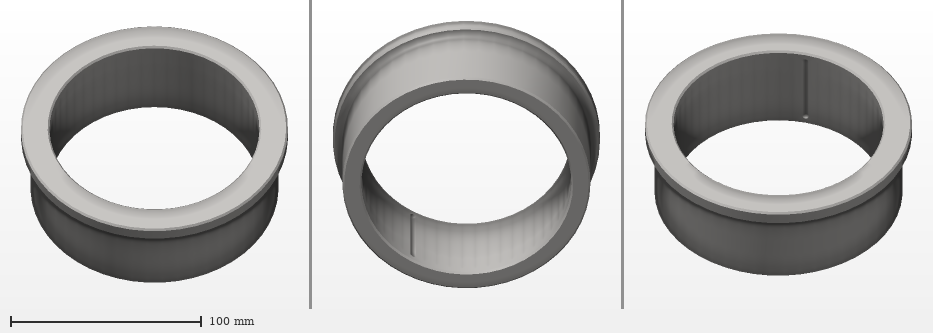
import cadquery as cq

height = 50.0
flange_diameter = 140.0
flange_thickness = 8.0
body_diameter = 130.0
bore_diameter = 110.0
edge_chamfer = 1.0
neck_fillet = 3.5

groove_diameter = 3.4
groove_end_margin = 5.6

flange_radius = flange_diameter / 2
body_radius = body_diameter / 2
bore_radius = bore_diameter / 2
groove_radius = groove_diameter / 2
flange_bottom = height - flange_thickness


def make_bushing():
    """Revolve the half section, with the concave fillet under the flange."""
    section = (
        cq.Workplane("XZ")
        .moveTo(bore_radius + edge_chamfer, 0)
        .lineTo(body_radius - edge_chamfer, 0)
        .lineTo(body_radius, edge_chamfer)
        .lineTo(body_radius, flange_bottom - neck_fillet)
        .radiusArc((body_radius + neck_fillet, flange_bottom), neck_fillet)
        .lineTo(flange_radius - edge_chamfer, flange_bottom)
        .lineTo(flange_radius, flange_bottom + edge_chamfer)
        .lineTo(flange_radius, height - edge_chamfer)
        .lineTo(flange_radius - edge_chamfer, height)
        .lineTo(bore_radius + edge_chamfer, height)
        .lineTo(bore_radius, height - edge_chamfer)
        .lineTo(bore_radius, edge_chamfer)
        .close()
    )
    return section.revolve(360, (0, 0, 0), (0, 1, 0))


def make_groove_cutter():
    """Upright ball-ended bar centred on the bore surface."""
    bar = (
        cq.Workplane("XY", origin=(bore_radius, 0, groove_end_margin))
        .circle(groove_radius)
        .extrude(height - 2 * groove_end_margin)
    )
    for end_height in (groove_end_margin, height - groove_end_margin):
        ball = cq.Workplane("XY", origin=(bore_radius, 0, end_height)).sphere(groove_radius)
        bar = bar.union(ball)
    return bar


result = make_bushing().cut(make_groove_cutter())